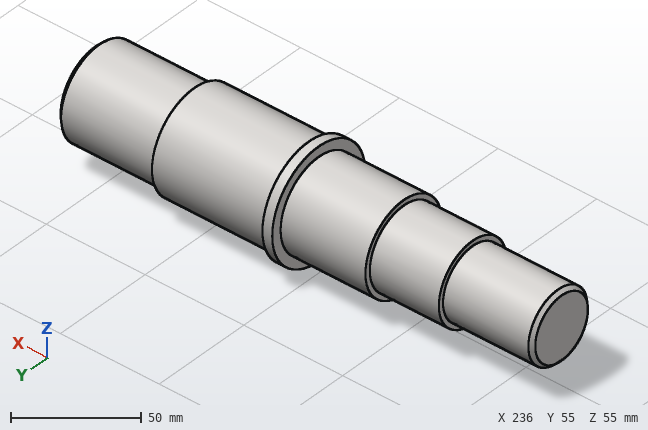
import cadquery as cq

total_length = 236.0
bearing_diameter = 45.0
end_journal = (45.0, 35.0)
seal_seat = (35.0, 40.0)
inner_bearing_seat = (43.0, bearing_diameter)
collar = (5.0, 55.0)
hub_seat = (58.0, 50.0)
end_chamfer = 2.0

leading_steps = [end_journal, seal_seat, inner_bearing_seat, collar, hub_seat]
outer_bearing_length = total_length - sum(length for length, _ in leading_steps)
steps = leading_steps + [(outer_bearing_length, bearing_diameter)]


def stepped_shaft(shaft_steps):
    """Stack the cylinders end to end along X, with the whole shaft centred on the origin."""
    shaft = cq.Workplane("YZ")
    start = -total_length / 2
    for length, diameter in shaft_steps:
        cylinder = cq.Workplane("YZ", origin=(start, 0, 0)).circle(diameter / 2).extrude(length)
        shaft = shaft.add(cylinder)
        start += length
    return shaft.combine()


result = stepped_shaft(steps).faces("<X or >X").edges().chamfer(end_chamfer)